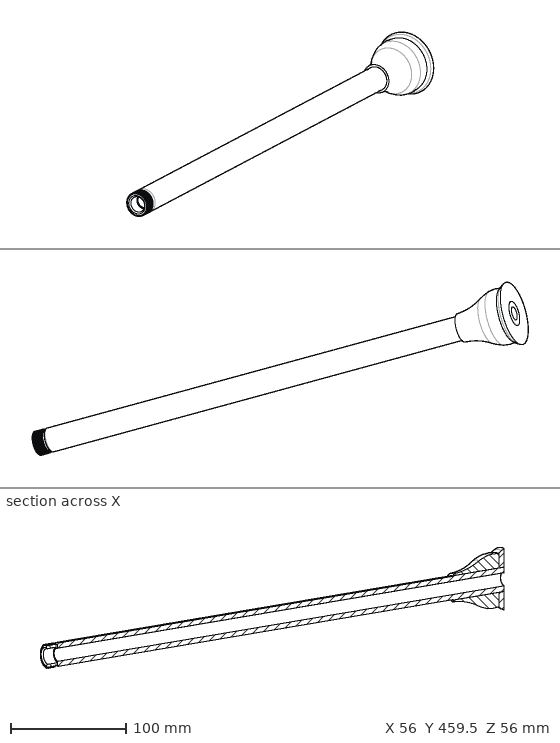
import cadquery as cq
import math

LENGTH = 459.5

FLANGE_RADIUS = 28.0
FLANGE_MID_RADIUS = 26.5
FLANGE_THICKNESS = 5.5
FLANGE_RIM_DEPTH = FLANGE_THICKNESS / 2

BAND_END_RADIUS = 24.5
BAND_BULGE = 0.7
BAND_DEPTH = 16.5
SHOULDER_RADIUS = 20.5
SHOULDER_DEPTH = 25.5
MOUTH_RADIUS = 13.0
BELL_DEPTH = 51.0

TUBE_DIAMETER = 21.5
BORE_DIAMETER = 11.5
TUBE_END_ROUND = 1.5
TUBE_RADIUS = TUBE_DIAMETER / 2
BORE_RADIUS = BORE_DIAMETER / 2

THREAD_COUNT = 6
THREAD_LENGTH = 9.5
THREAD_DEPTH = 1.0
NECK_RADIUS = 9.0
NECK_LENGTH = 2.0
END_BORE_RADIUS = 7.0
END_BORE_CHAMFER = 1.5
THREAD_PITCH = THREAD_LENGTH / THREAD_COUNT
THREAD_FLANK = THREAD_PITCH / 4
CREST_WIDTH = THREAD_FLANK
THREADED_END_LENGTH = THREAD_LENGTH + NECK_LENGTH


def from_back(depth):
    return LENGTH - depth


def revolved(outline):
    """Turn an outline of (radius, Y) points about the Y axis."""
    return outline.close().revolve(360, (0, 0, 0), (0, 1, 0))


def make_flange():
    front = from_back(FLANGE_THICKNESS)
    return revolved(
        cq.Workplane("XY")
        .moveTo(TUBE_RADIUS, LENGTH)
        .lineTo(FLANGE_RADIUS, LENGTH)
        .lineTo(FLANGE_MID_RADIUS, from_back(FLANGE_RIM_DEPTH))
        .lineTo(BAND_END_RADIUS, front)
        .lineTo(TUBE_RADIUS, front)
    )


def make_bell():
    back = from_back(FLANGE_THICKNESS)
    mouth = from_back(BELL_DEPTH)
    bulge = from_back((FLANGE_THICKNESS + BAND_DEPTH) / 2)
    return revolved(
        cq.Workplane("XY")
        .moveTo(TUBE_RADIUS, back)
        .lineTo(BAND_END_RADIUS, back)
        .threePointArc((BAND_END_RADIUS + BAND_BULGE, bulge), (BAND_END_RADIUS, from_back(BAND_DEPTH)))
        .tangentArcPoint((SHOULDER_RADIUS, from_back(SHOULDER_DEPTH)), relative=False)
        .tangentArcPoint((MOUTH_RADIUS, mouth), relative=False)
        .lineTo(TUBE_RADIUS, mouth)
    )


def make_tube():
    tip = THREADED_END_LENGTH
    round_start = TUBE_END_ROUND * (1 - math.sqrt(0.5))
    return revolved(
        cq.Workplane("XY")
        .moveTo(BORE_RADIUS, LENGTH)
        .lineTo(TUBE_RADIUS, LENGTH)
        .lineTo(TUBE_RADIUS, tip + TUBE_END_ROUND)
        .threePointArc((TUBE_RADIUS - round_start, tip + round_start), (TUBE_RADIUS - TUBE_END_ROUND, tip))
        .lineTo(BORE_RADIUS, tip)
    )


def make_threaded_end():
    root_radius = TUBE_RADIUS - THREAD_DEPTH
    outline = (
        cq.Workplane("XY")
        .moveTo(END_BORE_RADIUS, THREADED_END_LENGTH)
        .lineTo(NECK_RADIUS, THREADED_END_LENGTH)
        .lineTo(NECK_RADIUS, THREAD_LENGTH)
    )
    for i in range(THREAD_COUNT):
        start = THREAD_LENGTH - i * THREAD_PITCH
        outline = (
            outline.lineTo(root_radius, start)
            .lineTo(TUBE_RADIUS, start - THREAD_FLANK)
            .lineTo(TUBE_RADIUS, start - THREAD_FLANK - CREST_WIDTH)
            .lineTo(root_radius, start - 2 * THREAD_FLANK - CREST_WIDTH)
        )
    outline = (
        outline.lineTo(root_radius, 0)
        .lineTo(END_BORE_RADIUS + END_BORE_CHAMFER, 0)
        .lineTo(END_BORE_RADIUS, END_BORE_CHAMFER)
    )
    return revolved(outline)


flange = make_flange()
bell = make_bell()
tube = make_tube()
threaded_end = make_threaded_end()
result = cq.Compound.makeCompound([flange.val(), bell.val(), tube.val(), threaded_end.val()])